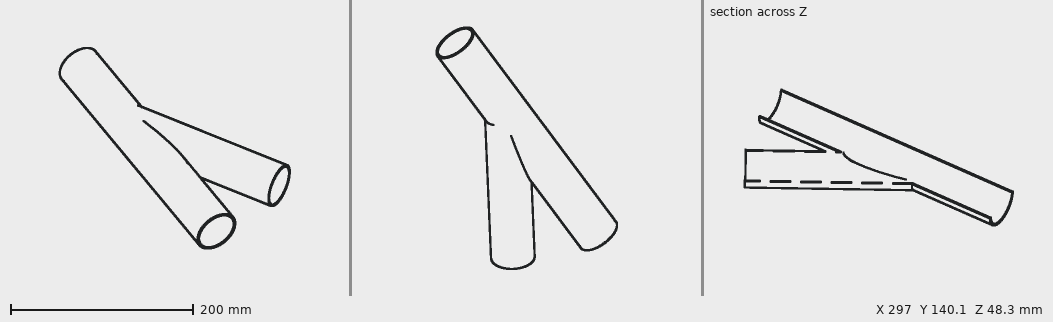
import cadquery as cq
import math

outer_diameter = 48.3
bore_diameter = 44.3
run_length = 297.0
branch_angle = 30.0
branch_start_x = 106.9
overall_width = 140.13

outer_radius = outer_diameter / 2
angle = math.radians(branch_angle)
tip_rise = outer_radius * math.cos(angle)
branch_length = (overall_width - outer_radius - tip_rise) / math.sin(angle)


def run_cylinder(diameter):
    """Cylinder along X with the full length of the run."""
    return cq.Workplane("YZ").circle(diameter / 2).extrude(run_length)


def branch_cylinder(diameter):
    """Cylinder from the crossing of the axes along the slanted branch axis."""
    branch_plane = cq.Plane(
        origin=(branch_start_x, 0, 0),
        xDir=(0, 0, 1),
        normal=(math.cos(angle), math.sin(angle), 0),
    )
    return cq.Workplane(branch_plane).circle(diameter / 2).extrude(branch_length)


outside = run_cylinder(outer_diameter).union(branch_cylinder(outer_diameter))
result = outside.cut(run_cylinder(bore_diameter)).cut(branch_cylinder(bore_diameter))